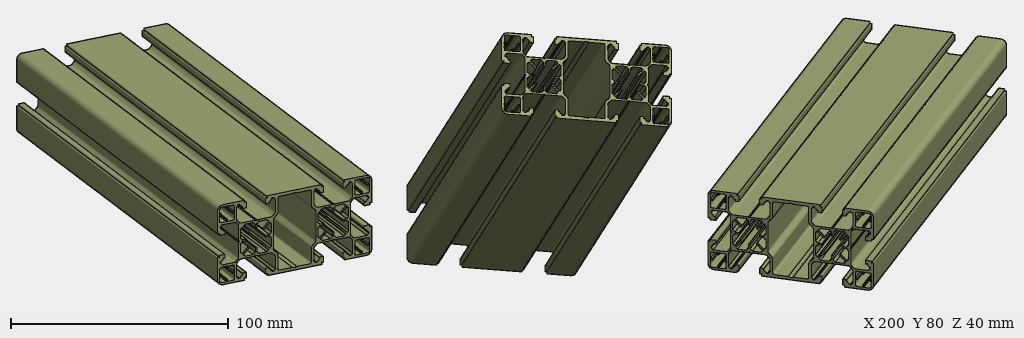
import cadquery as cq
import math

length = 200.0
module = 40.0
half = module / 2

lip_radius = 0.3
slot_opening_half = 5.0
slot_mouth_half = 5.9
mouth_step = 1.0
lip_end = 16.0
lip_width = 1.8
lip_bevel = 1.8
slot_half = 10.0
slot_bevel = 1.0
flange = 1.6

tube_wall = 1.2
tube_outer_radius = 3.0
tube_inner_radius = 0.9
tube_rib_width = 0.5
tube_rib_length = 1.0

web = 1.3
chamber_radius = 1.0
cover_groove_width = 2.4
cover_groove_depth = 0.3

core_half = 9.0
core_wall = 1.0
strut_offset = 0.7
strut_radius = 1.5
groove_depth = 0.4
diagonal_rib_width = 0.9
diagonal_rib_tip = 3.7
corner_gusset = 2.4
middle_rib_width = 0.8
middle_rib_tip = 4.9
middle_rib_flare = 1.1


def section():
    return cq.Workplane("YZ")


def block(y0, y1, z0, z1):
    return section().center((y0 + y1) / 2, (z0 + z1) / 2).rect(y1 - y0, z1 - z0).extrude(length)


def prism(points):
    return section().polyline(points).close().extrude(length)


def rotated(body, angle):
    return body.rotate((0, 0, 0), (1, 0, 0), angle)


def fillet_edges(body, radius, places):
    """Round the edges along X that run through the given (Y, Z) places."""
    edges = body.newObject([])
    for y, z in places:
        edges = edges.add(body.edges(cq.selectors.NearestToPointSelector((length / 2, y, z))))
    return edges.fillet(radius)


def swap_y_and_z(body):
    """Reflect a body in the diagonal plane Y = Z."""
    return rotated(body.mirror("XZ"), -90)



def slot_lip():
    """Flange and hooked lip on the +Y side of the +Z slot."""
    flange_bottom = half - flange
    lip_back = slot_opening_half + lip_width
    lip = prism([
        (slot_half, half),
        (slot_mouth_half, half),
        (slot_mouth_half, half - mouth_step),
        (slot_opening_half, half - mouth_step),
        (slot_opening_half, lip_end),
        (lip_back, lip_end),
        (lip_back, flange_bottom - lip_bevel),
        (lip_back + lip_bevel, flange_bottom),
        (slot_half - slot_bevel, flange_bottom),
        (slot_half, flange_bottom - slot_bevel),
    ])
    return fillet_edges(lip, lip_radius, [
        (slot_mouth_half, half),
        (slot_opening_half, half - mouth_step),
        (slot_opening_half, lip_end),
        (lip_back, lip_end),
    ])


def corner_tube():
    """Square tube in the +Y +Z corner with a small rib in the middle of each inner side."""
    inner_start = slot_half + tube_wall
    inner_end = half - tube_wall
    middle = (inner_start + inner_end) / 2
    tube = block(slot_half, half, slot_half, half)
    tube = fillet_edges(tube, tube_outer_radius, [(half, half)])
    cavity = block(inner_start, inner_end, inner_start, inner_end)
    tube = tube.cut(cavity.edges("|X").fillet(tube_inner_radius))
    for start, end in (
        (inner_start - tube_wall / 2, inner_start + tube_rib_length),
        (inner_end - tube_rib_length, inner_end + tube_wall / 2),
    ):
        rib = block(start, end, middle - tube_rib_width / 2, middle + tube_rib_width / 2)
        tube = tube.union(rib).union(swap_y_and_z(rib))
    return tube


def chamber_web():
    """Upright on the -Y side of the +Z slot with the flange over the central chamber."""
    upright = block(-slot_half - web, -slot_half, slot_half, half)
    cover = block(-half, -slot_half, half - flange, half)
    body = upright.union(cover)
    return fillet_edges(body, chamber_radius, [(-slot_half - web, half - flange)])


def tube_strut():
    """Link from the +Y +Z core corner to the corner tube."""
    return prism([
        (slot_half, slot_half + strut_offset),
        (core_half - strut_offset, core_half),
        (core_half, core_half - strut_offset),
        (slot_half + strut_offset, slot_half),
    ])


def web_strut():
    """Link from the -Y +Z core corner to the foot of the web."""
    return prism([
        (-slot_half, slot_half + strut_offset),
        (strut_offset - core_half, core_half),
        (-core_half, core_half - web),
        (-slot_half - web, slot_half),
    ])


def diagonal_rib():
    """Rib from the +Y +Z core corner towards the core centre, with a gusset at its root."""
    inner = core_half - core_wall
    tip = diagonal_rib_tip * math.sqrt(2)
    rib_half = diagonal_rib_width / 2
    rib = rotated(block(tip, inner * math.sqrt(2), -rib_half, rib_half), 45)
    gusset = prism([(inner, inner), (inner - corner_gusset, inner), (inner, inner - corner_gusset)])
    return rib.union(gusset)


def middle_rib():
    """Rib from the middle of the +Y core wall towards the core centre, flared at its root."""
    inner = core_half - core_wall
    root = inner + core_wall / 2
    rib_half = middle_rib_width / 2
    flare_half = rib_half + middle_rib_flare
    return prism([
        (root, -flare_half),
        (inner, -flare_half),
        (inner - middle_rib_flare, -rib_half),
        (middle_rib_tip, -rib_half),
        (middle_rib_tip, rib_half),
        (inner - middle_rib_flare, rib_half),
        (inner, flare_half),
        (root, flare_half),
    ])


def core():
    """Square tube with struts at its corners, ribs inside and grooves in the slot floors."""
    inner = core_half - core_wall
    body = block(-core_half, core_half, -core_half, core_half)
    body = body.cut(block(-inner, inner, -inner, inner))
    for quarter in range(4):
        for rib in (diagonal_rib(), middle_rib()):
            body = body.union(rotated(rib, 90 * quarter))
    for piece in (tube_strut(), web_strut()):
        body = body.union(piece).union(piece.mirror("XY"))
    groove = prism([
        (core_half, -groove_depth),
        (core_half - groove_depth, 0),
        (core_half, groove_depth),
    ])
    for slot_angle in (-90, 0, 90):
        body = body.cut(rotated(groove, slot_angle))
    return body


def round_struts(body):
    """Round the edges where the struts meet the core, the tubes and the webs."""
    near = core_half - strut_offset
    far = slot_half + strut_offset
    upper = [
        (slot_half, far),
        (near, core_half),
        (core_half, near),
        (far, slot_half),
        (-slot_half, far),
        (-near, core_half),
        (-core_half, core_half - web),
        (-slot_half - web, slot_half),
    ]
    return fillet_edges(body, strut_radius, upper + [(y, -z) for y, z in upper])


def module_profile():
    """One module, with its outer side towards +Y and the central chamber towards -Y."""
    lip = slot_lip()
    upper = corner_tube().union(chamber_web())
    for piece in (lip, lip.mirror("XZ"), swap_y_and_z(lip)):
        upper = upper.union(piece)
    return round_struts(core().union(upper).union(upper.mirror("XY")).clean())



def cover_groove():
    """Cutter for the shallow round groove along the middle of the upper chamber cover."""
    surface = half - flange
    groove_half = cover_groove_width / 2
    outline = section().moveTo(-groove_half, surface)
    outline = outline.threePointArc((0, surface + cover_groove_depth), (groove_half, surface))
    return outline.close().extrude(length)


module_body = module_profile().translate((0, half, 0))
profile = module_body.union(module_body.mirror("XZ"))
groove = cover_groove()
for cutter in (groove, groove.mirror("XY")):
    profile = profile.cut(cutter)
result = profile.clean()